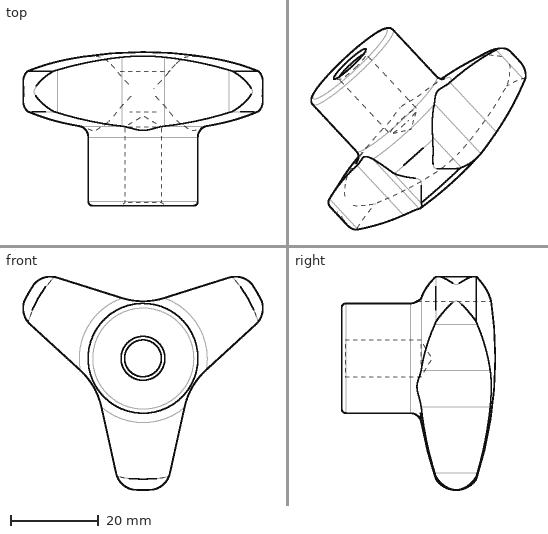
import cadquery as cq
import math

total_height = 35.0
arm_count = 3
arm_reach = 30.0

arm_half_taper = 12.5
notch_depth_radius = 13.0
notch_radius = 16.0
tip_corner_radius = 5.0

head_mid_y = 26.05
top_rise = total_height - head_mid_y
under_rise = 9.2
rim_edge_radius = 27.5
rim_radius = 5.5
rim_edge_rise = math.sqrt(rim_radius**2 - (rim_edge_radius - arm_reach + rim_radius)**2)

hub_radius = 12.5
hub_end_rounding = 1.0
hub_root_fillet = 2.5

hole_diameter = 8.38
hole_mouth_diameter = 10.0
hole_depth = 18.0
drill_point_angle = 118.0


def crown_arc_radius(rise):
    """Radius of a crown arc with its apex on the axis and its outer end at the rim edge."""
    sag = rise - rim_edge_rise
    return (rim_edge_radius**2 + sag**2) / (2 * sag)


def make_turned_body():
    """Head and hub as one solid of revolution about Y, with a shallow crown on each side."""
    top_radius = crown_arc_radius(top_rise)
    under_radius = crown_arc_radius(under_rise)
    top_centre_y = total_height - top_radius
    under_centre_y = head_mid_y - under_rise + under_radius

    fillet_centre_x = hub_radius + hub_root_fillet
    fillet_centre_y = under_centre_y - math.sqrt((under_radius + hub_root_fillet)**2 - fillet_centre_x**2)
    fillet_end_x = fillet_centre_x * under_radius / (under_radius + hub_root_fillet)

    def top_point(x):
        return (x, top_centre_y + math.sqrt(top_radius**2 - x**2))

    def under_point(x):
        return (x, under_centre_y - math.sqrt(under_radius**2 - x**2))

    return (
        cq.Workplane("XY")
        .lineTo(hub_radius - hub_end_rounding, 0)
        .radiusArc((hub_radius, hub_end_rounding), -hub_end_rounding)
        .lineTo(hub_radius, fillet_centre_y)
        .radiusArc(under_point(fillet_end_x), hub_root_fillet)
        .threePointArc(under_point((fillet_end_x + rim_edge_radius) / 2), under_point(rim_edge_radius))
        .threePointArc((arm_reach, head_mid_y), top_point(rim_edge_radius))
        .threePointArc(top_point(rim_edge_radius / 2), (0, total_height))
        .close()
        .revolve(360, (0, 0), (0, 1))
    )


def polar_point(radius, angle):
    """Point at a radius and angle in the plane square to the hub axis."""
    return (radius * math.cos(angle), radius * math.sin(angle))


def axis_distance(edge):
    """Distance from the hub axis to an edge that runs parallel to it."""
    return math.hypot(edge.Center().x, edge.Center().z)


def make_arm_prism():
    """Star-shaped prism along Y: tapered arms with rounded tips and wide round notches."""
    taper = math.radians(arm_half_taper)
    arm_pitch = 2 * math.pi / arm_count
    side_tilt = math.pi / 2 - taper - arm_pitch / 2
    side_distance = (notch_depth_radius + notch_radius) * math.cos(side_tilt) - notch_radius
    notch_corner_radius = side_distance / math.cos(side_tilt)
    tip_half_width = (side_distance - arm_reach * math.sin(taper)) / math.cos(taper)
    tip_corner_distance = math.hypot(arm_reach, tip_half_width)
    tip_half_angle = math.atan2(tip_half_width, arm_reach)

    outline = []
    for index in range(arm_count):
        arm_angle = index * arm_pitch - math.pi / 2
        outline.append(polar_point(tip_corner_distance, arm_angle - tip_half_angle))
        outline.append(polar_point(tip_corner_distance, arm_angle + tip_half_angle))
        outline.append(polar_point(notch_corner_radius, arm_angle + arm_pitch / 2))
    prism = cq.Workplane("XZ").polyline(outline).close().extrude(-total_height)

    def is_tip(edge):
        return axis_distance(edge) > rim_edge_radius

    def is_notch(edge):
        return axis_distance(edge) < notch_depth_radius

    prism = prism.edges("|Y").filter(is_tip).fillet(tip_corner_radius)
    return prism.edges("|Y").filter(is_notch).fillet(notch_radius)


def make_hole():
    """Blind hole from the hub end with a 45 degree mouth and a conical bottom."""
    radius = hole_diameter / 2
    mouth_radius = hole_mouth_diameter / 2
    point_length = radius / math.tan(math.radians(drill_point_angle / 2))
    return (
        cq.Workplane("XY")
        .moveTo(0, 0)
        .lineTo(mouth_radius, 0)
        .lineTo(radius, mouth_radius - radius)
        .lineTo(radius, hole_depth)
        .lineTo(0, hole_depth + point_length)
        .close()
        .revolve(360, (0, 0), (0, 1))
    )


result = make_turned_body().intersect(make_arm_prism()).cut(make_hole())